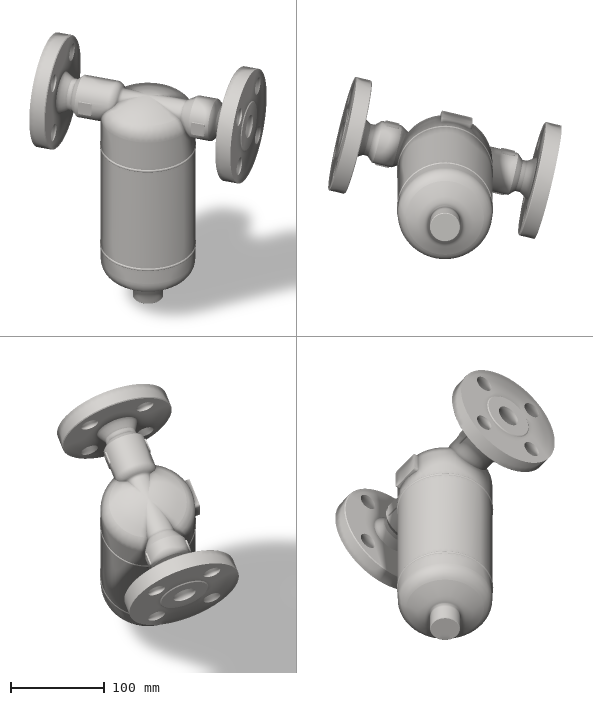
import cadquery as cq
import math


overall_length = 227.0
overall_height = 302.0
flange_diameter = 124.0
raised_face_height = 1.0
raised_face_radius = 26.3
raised_face_base_radius = 27.5
flange_back_x = 95.5
flange_back_chamfer = 1.0
bolt_hole_diameter = 19.0
bolt_hole_spacing = 62.8
bore_diameter = 25.0

pipe_radius = 32.0 / 2
hub_radius = 46.0 / 2
coupling_radius = 46.0 / 2
neck_radius = 34.0 / 2
neck_outer_x = 85.8
neck_inner_x = 81.0
coupling_outer_x = 74.5
inlet_shoulder_x = 38.5
inlet_shoulder_radius = 9.0
inlet_root_radius = 2.7
outlet_shoulder_x = 53.2
outlet_cone_end_x = 41.5

pad_size = 15.0
pad_corner_radius = 1.8
pad_center_x = 63.5
pad_face_y = 23.3

vessel_radius = 101.0 / 2
crown_sphere_radius = 82.0
crown_edge_radius = 41.5
lower_wall_end_z = -191.5
weld_height = 3.0
weld_bulge = 1.0
weld_centers_z = (-47.5, -173.3)

drain_radius = 32.0 / 2
drain_root_fillet = 1.8
drain_end_chamfer = 0.5

plate_width = 34.0
plate_height = 24.8
plate_top_z = -7.0
plate_corner_radius = 2.7
plate_face_y = 53.0

crown_angle = math.asin(crown_edge_radius / crown_sphere_radius)
knuckle_radius = (vessel_radius - crown_edge_radius) / (1 - math.sin(crown_angle))
knuckle_rise = knuckle_radius * math.cos(crown_angle)
crown_rise = crown_sphere_radius * (1 - math.cos(crown_angle))
dish_height = knuckle_rise + crown_rise

upper_wall_end_z = pipe_radius - dish_height
drain_end_z = flange_diameter / 2 - overall_height
half_length = overall_length / 2
flange_face_x = half_length - raised_face_height


def revolve_about_x(profile):
    """Revolve a closed XY profile about the pipe axis."""
    return profile.close().revolve(360, (0, 0, 0), (1, 0, 0))


def vessel():
    """Solid cylinder with a dished end at the top and the bottom."""
    half_angle = crown_angle / 2
    crown_mid_radius = crown_sphere_radius * math.sin(half_angle)
    crown_mid_drop = crown_sphere_radius * (1 - math.cos(half_angle))
    top_z = upper_wall_end_z + dish_height
    bottom_z = lower_wall_end_z - dish_height
    return (
        cq.Workplane("XZ")
        .moveTo(0, top_z)
        .threePointArc((crown_mid_radius, top_z - crown_mid_drop), (crown_edge_radius, top_z - crown_rise))
        .tangentArcPoint((vessel_radius, upper_wall_end_z), relative=False)
        .lineTo(vessel_radius, lower_wall_end_z)
        .tangentArcPoint((crown_edge_radius, bottom_z + crown_rise), relative=False)
        .threePointArc((crown_mid_radius, bottom_z + crown_mid_drop), (0, bottom_z))
        .close()
        .revolve(360, (0, 0, 0), (0, 1, 0))
    )


def weld_bead(center_z):
    """Low rounded ring around the vessel wall, rooted inside it."""
    bottom_z = center_z - weld_height / 2
    top_z = center_z + weld_height / 2
    root_radius = vessel_radius / 2
    return (
        cq.Workplane("XZ")
        .moveTo(root_radius, bottom_z)
        .lineTo(vessel_radius, bottom_z)
        .threePointArc((vessel_radius + weld_bulge, center_z), (vessel_radius, top_z))
        .lineTo(root_radius, top_z)
        .close()
        .revolve(360, (0, 0, 0), (0, 1, 0))
    )


def vessel_with_drain():
    """Vessel with a chamfered drain stub, blended into the lower end by a small fillet."""
    stub = (
        cq.Workplane("XY", origin=(0, 0, drain_end_z))
        .circle(drain_radius)
        .extrude(lower_wall_end_z - drain_end_z)
        .faces("<Z")
        .chamfer(drain_end_chamfer)
    )
    root_drop = crown_sphere_radius - math.sqrt(crown_sphere_radius**2 - drain_radius**2)
    root_z = lower_wall_end_z - dish_height + root_drop
    root_edge = cq.selectors.NearestToPointSelector((0, 0, root_z))
    return vessel().union(stub).edges(root_edge).fillet(drain_root_fillet)


def connection_points():
    """Outer profile shared by both connections, from the raised face inward to the coupling."""
    flange_radius = flange_diameter / 2
    return [
        (0, 0),
        (half_length, 0),
        (half_length, raised_face_radius),
        (flange_face_x, raised_face_base_radius),
        (flange_face_x, flange_radius),
        (flange_back_x + flange_back_chamfer, flange_radius),
        (flange_back_x, flange_radius - flange_back_chamfer),
        (flange_back_x, hub_radius),
        (neck_outer_x, neck_radius),
        (neck_inner_x, neck_radius),
        (coupling_outer_x, coupling_radius),
    ]


def outlet():
    """Connection on +X; the coupling tapers down to the pipe."""
    points = connection_points() + [
        (outlet_shoulder_x, coupling_radius),
        (outlet_cone_end_x, pipe_radius),
        (0, pipe_radius),
    ]
    return revolve_about_x(cq.Workplane("XY").polyline(points))


def inlet():
    """Connection on -X; the coupling rounds off and flows into the pipe through a small fillet."""
    center_gap = pipe_radius + inlet_root_radius - (coupling_radius - inlet_shoulder_radius)
    arc_sum = inlet_shoulder_radius + inlet_root_radius
    arc_run = math.sqrt(arc_sum**2 - center_gap**2)
    shoulder_share = inlet_shoulder_radius / arc_sum
    meeting_x = inlet_shoulder_x - arc_run * shoulder_share
    meeting_radius = coupling_radius - inlet_shoulder_radius + center_gap * shoulder_share
    profile = (
        cq.Workplane("XY")
        .polyline(connection_points())
        .lineTo(inlet_shoulder_x, coupling_radius)
        .tangentArcPoint((meeting_x, meeting_radius), relative=False)
        .tangentArcPoint((inlet_shoulder_x - arc_run, pipe_radius), relative=False)
        .lineTo(0, pipe_radius)
    )
    return revolve_about_x(profile).mirror("YZ")


def pads():
    """Flat square pads on the front and back of both couplings."""
    return (
        cq.Workplane("XZ")
        .workplane(offset=-pad_face_y)
        .pushPoints([(-pad_center_x, 0), (pad_center_x, 0)])
        .rect(pad_size, pad_size)
        .extrude(2 * pad_face_y)
        .edges("|Y")
        .fillet(pad_corner_radius)
    )


def nameplate():
    """Flat plate standing off the back of the vessel."""
    return (
        cq.Workplane("XZ")
        .center(0, plate_top_z - plate_height / 2)
        .rect(plate_width, plate_height)
        .extrude(-plate_face_y)
        .edges("|Y")
        .fillet(plate_corner_radius)
    )


def bolt_holes():
    """Four bolt holes through both flanges, parallel to the pipe axis."""
    return (
        cq.Workplane("YZ")
        .workplane(offset=-half_length)
        .rect(bolt_hole_spacing, bolt_hole_spacing, forConstruction=True)
        .vertices()
        .circle(bolt_hole_diameter / 2)
        .extrude(half_length - flange_back_x)
    )


def bore():
    """Blind bore from the raised face to the inner end of the neck, on the -X side."""
    return (
        cq.Workplane("YZ")
        .workplane(offset=-half_length)
        .circle(bore_diameter / 2)
        .extrude(half_length - neck_inner_x)
    )


result = vessel_with_drain().union(inlet()).union(outlet()).union(pads()).union(nameplate())
for weld_center_z in weld_centers_z:
    result = result.union(weld_bead(weld_center_z))

for cutter in (bolt_holes(), bore()):
    result = result.cut(cutter).cut(cutter.mirror("YZ"))